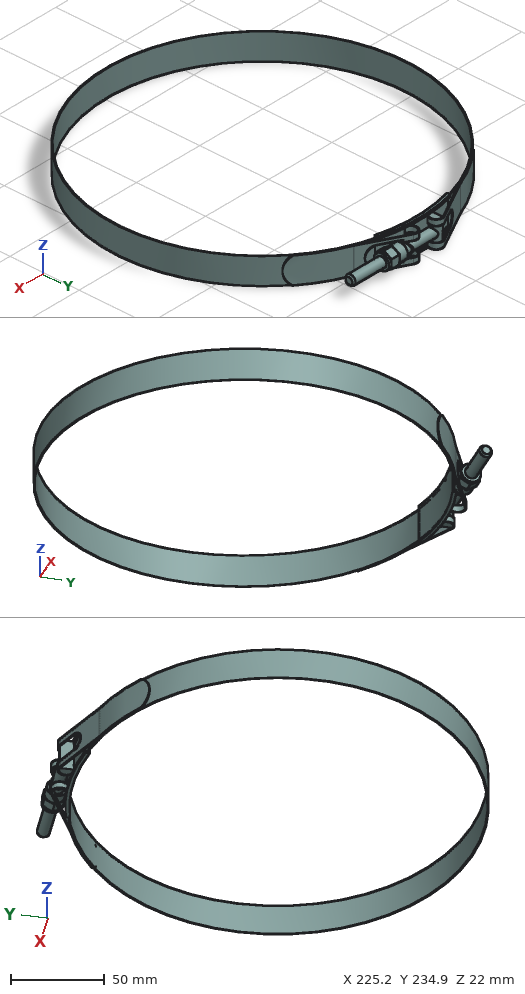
import cadquery as cq
import math

ring_outer_radius = 112.61
ring_thickness = 0.6
band_width = 19.0

strap_thickness = 0.6
tail_tip_angle = 42.0
tail_lift_angle = 21.9
tail_tip_radius = 11.0
loop_center_x = 10.0
loop_outer_radius = 4.6
loop_end_angle = -180.0
loop_slot_width = 10.6
loop_slot_end_y = 112.6
nut_window_width = 14.0
nut_window_clearance = 1.0

bridge_half_length = 28.8
bridge_width = 22.0
bridge_base_thickness = 0.6
bridge_outer_radius = 113.7

bolt_radius = 3.5
bolt_tip_x = 58.9
bolt_tip_length = 1.4
bolt_tip_step = 1.0
cross_bar_flat_x = -11.3

nut_top_y = 122.29
nut_across_flats = 11.0
nut_start_x = 18.2
hexagon_start_x = 24.7
hexagon_end_x = 31.3
nut_end_x = 33.1
sleeve_radius = 4.0

bolt_y = nut_top_y - nut_across_flats / 2
ring_inner_radius = ring_outer_radius - ring_thickness
tail_outer_radius = ring_outer_radius + strap_thickness
loop_inner_radius = loop_outer_radius - strap_thickness
cross_bar_radius = loop_inner_radius
nut_round_radius = nut_across_flats / 2
nut_corner_diameter = nut_across_flats / math.cos(math.pi / 6)
left_loop_center = (-loop_center_x, bolt_y)
cutter_length = 20.0


def polar(radius, angle, center=(0.0, 0.0)):
    """Point at an angle in degrees from +Y, turning towards -X."""
    turn = math.radians(angle)
    return (center[0] - radius * math.sin(turn), center[1] + radius * math.cos(turn))


def z_centered(width):
    """Workplane normal to Z from which an extrusion of the given width is centred on Z = 0."""
    return cq.Workplane("XY", origin=(0, 0, -width / 2))


def hoop(outer_radius, inner_radius, width):
    return z_centered(width).circle(outer_radius).circle(inner_radius).extrude(width)


def bolt_axis_cylinder(radius, start_x, end_x):
    section = cq.Workplane("YZ", origin=(start_x, bolt_y, 0)).circle(radius)
    return section.extrude(end_x - start_x)


def loop_axis_cylinder(radius, center_x):
    section = z_centered(band_width).center(center_x, bolt_y).circle(radius)
    return section.extrude(band_width)


lift_point = polar(tail_outer_radius, tail_lift_angle)
rise_x = left_loop_center[0] - lift_point[0]
rise_y = left_loop_center[1] - lift_point[1]
straight_slope = math.degrees(
    math.atan2(rise_y, rise_x) + math.asin(loop_outer_radius / math.hypot(rise_x, rise_y))
)


def inner_lift_angle():
    """Angle at which the underside of the straight stretch meets the ring."""
    underside_distance = (
        polar(1, straight_slope)[0] * lift_point[0]
        + polar(1, straight_slope)[1] * lift_point[1]
        - strap_thickness
    )
    return straight_slope - math.degrees(math.acos(underside_distance / ring_outer_radius))


def straight_plane(point_y):
    """Plane lying on the straight stretch at height point_y, with its X axis towards the loop."""
    along = polar(1, straight_slope - 90)
    outward = polar(1, straight_slope)
    point_x = lift_point[0] + (point_y - lift_point[1]) * along[0] / along[1]
    return cq.Plane(origin=(point_x, point_y, 0), xDir=(*along, 0), normal=(*outward, 0))


def round_ended_slot(end_y, width, length):
    """Cutter square to the straight stretch, from a round end at height end_y towards the loop."""
    plane = straight_plane(end_y)
    radius = width / 2
    return (
        cq.Workplane(plane)
        .moveTo(length, radius)
        .lineTo(radius, radius)
        .threePointArc((0, 0), (radius, -radius))
        .lineTo(length, -radius)
        .close()
        .extrude(cutter_length / 2, both=True)
    )


def tail_tip_corners():
    """Material outside the rounded tip of the tail."""
    tip_plane = cq.Plane(
        origin=(*polar(ring_outer_radius, tail_tip_angle), 0),
        xDir=(*polar(1, tail_tip_angle - 90), 0),
        normal=(*polar(1, tail_tip_angle), 0),
    )
    block = cq.Workplane(tip_plane).rect(2 * tail_tip_radius, 2 * tail_tip_radius)
    disc = cq.Workplane(tip_plane).center(tail_tip_radius, 0).circle(tail_tip_radius)
    reach = cutter_length / 2
    return block.extrude(reach, both=True).cut(disc.extrude(reach, both=True))


def left_strap():
    """Strap on the -X side with the bolt slot through its loop and straight stretch."""
    inner_lift = inner_lift_angle()
    middle_tail = (tail_lift_angle + tail_tip_angle) / 2
    middle_loop = (straight_slope + loop_end_angle) / 2
    center = left_loop_center
    strap = (
        z_centered(band_width)
        .moveTo(*polar(tail_outer_radius, tail_tip_angle))
        .threePointArc(polar(tail_outer_radius, middle_tail), lift_point)
        .lineTo(*polar(loop_outer_radius, straight_slope, center))
        .threePointArc(
            polar(loop_outer_radius, middle_loop, center),
            polar(loop_outer_radius, loop_end_angle, center),
        )
        .lineTo(*polar(loop_inner_radius, loop_end_angle, center))
        .threePointArc(
            polar(loop_inner_radius, middle_loop, center),
            polar(loop_inner_radius, straight_slope, center),
        )
        .lineTo(*polar(ring_outer_radius, inner_lift))
        .threePointArc(
            polar(ring_outer_radius, middle_tail), polar(ring_outer_radius, tail_tip_angle)
        )
        .close()
        .extrude(band_width)
    )
    bolt_slot = round_ended_slot(loop_slot_end_y, loop_slot_width, 2 * cutter_length)
    return strap.cut(tail_tip_corners()).cut(bolt_slot)


def right_strap():
    """Mirrored strap with a wider window in its straight stretch for the nut."""
    nut_bottom_y = bolt_y - nut_round_radius
    window_end_y = nut_bottom_y - nut_window_width / 2 * math.sin(math.radians(straight_slope))
    window_inner_x = -nut_start_x + nut_window_clearance
    window = round_ended_slot(window_end_y, nut_window_width, 2 * cutter_length)
    nut_side = z_centered(bridge_width).center(window_inner_x - cutter_length, bolt_y)
    nut_side = nut_side.rect(2 * cutter_length, 2 * cutter_length).extrude(bridge_width)
    return left_strap().cut(window.intersect(nut_side)).mirror("YZ")


def ring():
    return hoop(ring_outer_radius, ring_inner_radius, band_width)


def bridge():
    base_inner_radius = ring_inner_radius - bridge_base_thickness
    channel = hoop(bridge_outer_radius, base_inner_radius, bridge_width)
    groove = hoop(bridge_outer_radius, ring_inner_radius, band_width)
    stretch = z_centered(bridge_width).center(0, bridge_outer_radius)
    stretch = stretch.rect(2 * bridge_half_length, bridge_outer_radius).extrude(bridge_width)
    return channel.cut(groove).intersect(stretch)


def t_bolt():
    bar = loop_axis_cylinder(cross_bar_radius, -loop_center_x)
    behind_flat = z_centered(band_width).center(cross_bar_flat_x - cross_bar_radius, bolt_y)
    behind_flat = behind_flat.rect(2 * cross_bar_radius, 2 * cross_bar_radius).extrude(band_width)
    shaft = bolt_axis_cylinder(bolt_radius, -loop_center_x, bolt_tip_x)
    shaft = shaft.faces(">X").chamfer(bolt_tip_length, bolt_tip_step)
    return bar.cut(behind_flat).union(shaft)


def nut():
    collars = bolt_axis_cylinder(nut_round_radius, nut_start_x, nut_end_x)
    hexagon = cq.Workplane("XY").polygon(6, nut_corner_diameter)
    hexagon = hexagon.extrude(hexagon_end_x - hexagon_start_x)
    hexagon = hexagon.rotate((0, 0, 0), (0, 1, 0), 90).translate((hexagon_start_x, bolt_y, 0))
    sleeve = bolt_axis_cylinder(sleeve_radius, loop_center_x, nut_start_x)
    sleeve = sleeve.cut(loop_axis_cylinder(loop_outer_radius, loop_center_x))
    bore = bolt_axis_cylinder(bolt_radius, 0, nut_end_x)
    return collars.union(hexagon).union(sleeve).cut(bore)


bodies = [ring(), left_strap(), right_strap(), bridge(), t_bolt(), nut()]
result = cq.Compound.makeCompound([body.val() for body in bodies])